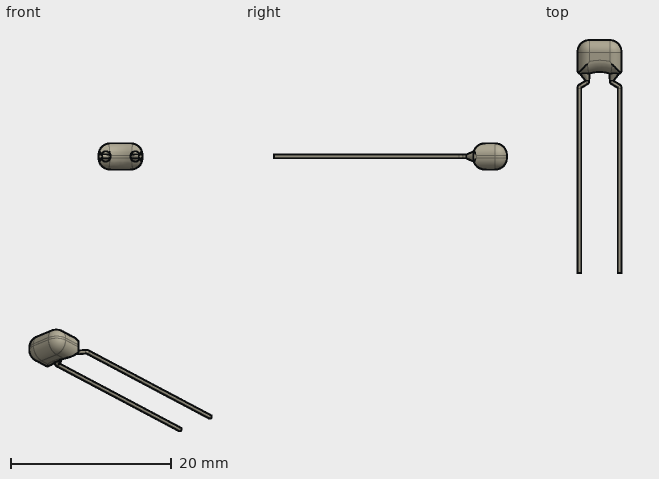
import cadquery as cq
import math

length = 29.0
width = 5.5
thickness = 3.3

edge_round = 1.5
center_depth = 4.0
hollow_radius = 4.05
tip_depth = 4.23
tip_corner_round = 0.4

collar_root_y = -3.83
collar_root_radius = 0.78
collar_root_x = width / 2 - collar_root_radius
collar_tip_y = -5.08

wire_radius = 0.25
bend_radius = 0.3
bend_angle = math.radians(60)
lead_x = width / 2 - wire_radius
root_x = 1.5


def make_collar(side):
    """Cone-like transition from the housing to one lead (side is -1 or 1)."""
    root = cq.Wire.makeCircle(
        collar_root_radius, cq.Vector(side * collar_root_x, collar_root_y, 0), cq.Vector(0, -1, 0)
    )
    tip = cq.Wire.makeCircle(
        wire_radius, cq.Vector(side * root_x, collar_tip_y, 0), cq.Vector(0, -1, 0)
    )
    return cq.Workplane(cq.Solid.makeLoft([root, tip], True))


def make_rounded_block():
    """Block with rounded long edges, ball-like rear corners and a full front round."""
    block = cq.Workplane("XY").box(width, tip_depth, thickness).translate((0, -tip_depth / 2, 0))
    rounded_sides = block.edges("|Y or >Y").fillet(edge_round)
    rounded_front = block.edges("|Z and <Y").fillet(tip_corner_round)
    rolled_front = block.edges("|X and <Y").fillet(edge_round)
    return rounded_sides.intersect(rounded_front).intersect(rolled_front)


def make_hollow_slab():
    """Flat slab whose concave front arc is rounded above and below."""
    half_width = width / 2
    corner_y = -center_depth - (hollow_radius - math.sqrt(hollow_radius**2 - half_width**2))
    return (
        cq.Workplane("XY")
        .workplane(offset=-thickness / 2)
        .moveTo(-half_width, 0)
        .lineTo(half_width, 0)
        .lineTo(half_width, corner_y)
        .threePointArc((0, -center_depth), (-half_width, corner_y))
        .close()
        .extrude(thickness)
        .edges("%CIRCLE")
        .fillet(edge_round)
    )


def make_housing():
    """Rounded pillow with a concave front and two collars."""
    pillow = make_rounded_block().intersect(make_hollow_slab())
    for side in (-1, 1):
        pillow = pillow.union(make_collar(side))
    return pillow


def make_lead(side):
    """Round wire that kinks outward and then runs straight along -Y."""
    bend_x = bend_radius * (1 - math.cos(bend_angle))
    bend_y = bend_radius * math.sin(bend_angle)
    half_x = bend_radius * (1 - math.cos(bend_angle / 2))
    half_y = bend_radius * math.sin(bend_angle / 2)
    slope_x = lead_x - root_x - 2 * bend_x
    slope_start_y = collar_tip_y - bend_y
    slope_end_y = slope_start_y - slope_x / math.tan(bend_angle)
    straight_y = slope_end_y - bend_y
    path = (
        cq.Workplane("XY")
        .moveTo(side * root_x, collar_tip_y)
        .threePointArc(
            (side * (root_x + half_x), collar_tip_y - half_y),
            (side * (root_x + bend_x), slope_start_y),
        )
        .lineTo(side * (lead_x - bend_x), slope_end_y)
        .threePointArc(
            (side * (lead_x - half_x), straight_y + half_y),
            (side * lead_x, straight_y),
        )
        .lineTo(side * lead_x, -length)
    )
    profile_plane = cq.Plane((side * root_x, collar_tip_y, 0), (1, 0, 0), (0, -1, 0))
    return cq.Workplane(profile_plane).circle(wire_radius).sweep(path)


housing = make_housing()
leads = [make_lead(side) for side in (-1, 1)]
result = cq.Compound.makeCompound([housing.val(), *[lead.val() for lead in leads]])